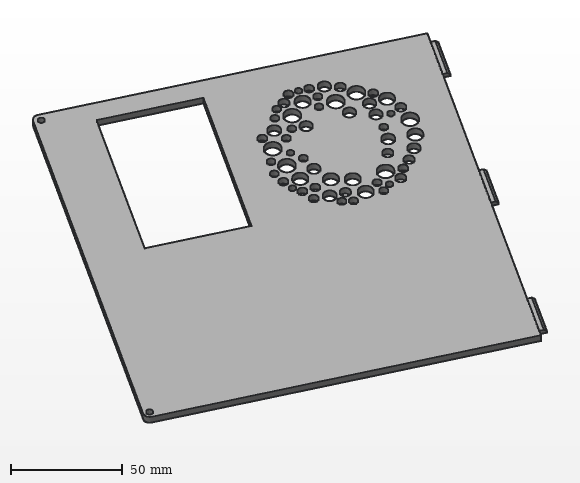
import cadquery as cq


panel_width = 188.0
overall_depth = 188.0
overall_height = 17.0
panel_thickness = 4.0
corner_radius = 3.0

screw_hole_diameter = 3.2
left_screw_inset = 3.5
right_screw_inset = corner_radius

tab_reach = 4.0
tab_width = 20.1
tab_height = 2.5
tab_tip_height = 1.1
tab_bevel_reach = 1.5
tab_spacing = 79.9
panel_depth = overall_depth - tab_reach

window_width = 79.7
window_depth = 49.6
window_left = 10.2
window_front = 27.5
window_center_x = -panel_width / 2 + window_left + window_width / 2

hook_width = 40.0
hook_center_x = -41.7
hook_front = 18.0
hook_stem_thickness = 4.9
hook_lip_reach = 10.2
hook_lip_flat_reach = 7.9
hook_lip_height = 3.5
hook_lip_tip_height = 2.0

grille_holes = {
    8.0: [
        (-46.5, 162.6), (-68.2, 143.8), (-19.4, 143.6), (-65.6, 133.5),
        (-62.8, 112.5), (-34.5, 102.0), (-46.0, 98.7),
    ],
    7.3: [
        (-37.0, 162.5), (-61.1, 156.0), (-10.0, 131.8), (-18.8, 128.2),
        (-69.5, 119.2), (-21.5, 118.8), (-25.4, 105.7),
    ],
    6.4: [(-37.8, 150.0), (-12.0, 115.6), (-56.4, 102.3)],
    6.0: [
        (-29.3, 159.6), (-53.4, 148.7), (-60.5, 147.8), (-57.7, 137.6),
        (-75.8, 131.0), (-55.0, 116.7), (-29.5, 113.2),
    ],
    5.0: [
        (-54.5, 160.5), (-23.3, 155.7), (-13.7, 149.0), (-29.7, 147.5),
        (-73.5, 137.8), (-12.2, 123.0), (-71.0, 111.0),
    ],
    4.5: [
        (-19.0, 151.7), (-66.0, 151.0), (-76.3, 124.0), (-75.5, 114.3),
        (-18.6, 110.7), (-12.5, 108.3), (-17.9, 104.5), (-25.8, 98.0), (-53.2, 95.9),
    ],
    4.1: [
        (-8.5, 139.7), (-14.0, 138.2), (-70.7, 126.5), (-6.2, 125.0),
        (-7.3, 120.0), (-36.8, 110.4), (-50.4, 106.2),
    ],
    4.0: [
        (-45.1, 150.0), (-64.7, 125.4), (-55.3, 110.2), (-68.5, 106.8),
        (-63.4, 104.5), (-38.7, 95.9), (-31.4, 95.3),
    ],
    3.4: [(-52.0, 155.3), (-11.5, 143.3), (-76.3, 119.2), (-41.5, 105.7), (-20.9, 100.8)],
}


def extrude_profile(points, width, center_x):
    """Extrude a closed (Y, Z) outline along X, centered on center_x."""
    return (
        cq.Workplane("YZ", origin=(center_x, 0, 0))
        .polyline(points)
        .close()
        .extrude(width / 2, both=True)
    )


def through_holes(centers, diameter):
    """Cylinders that pass through the full panel thickness."""
    return (
        cq.Workplane("XY")
        .pushPoints(centers)
        .circle(diameter / 2)
        .extrude(panel_thickness)
    )


def make_panel():
    """Flat panel with rounded front corners and the rectangular window."""
    panel = (
        cq.Workplane("XY")
        .box(panel_width, panel_depth, panel_thickness, centered=(True, False, False))
        .edges("|Z and <Y")
        .fillet(corner_radius)
    )
    window = (
        cq.Workplane("XY")
        .center(window_center_x, window_front)
        .rect(window_width, window_depth, centered=(True, False))
        .extrude(panel_thickness)
    )
    return panel.cut(window)


def make_tab(center_x):
    """Low tab behind the back edge, beveled along the top of its tip."""
    tip_y = panel_depth + tab_reach
    outline = [
        (panel_depth, 0),
        (tip_y, 0),
        (tip_y, tab_tip_height),
        (tip_y - tab_bevel_reach, tab_height),
        (panel_depth, tab_height),
    ]
    return extrude_profile(outline, tab_width, center_x)


def make_hook():
    """Stem under the panel with a beveled lip that points to the back."""
    bottom_z = panel_thickness - overall_height
    lip_top_z = bottom_z + hook_lip_height
    stem_back = hook_front + hook_stem_thickness
    tip_y = hook_front + hook_lip_reach
    outline = [
        (hook_front, 0),
        (hook_front, bottom_z),
        (tip_y, bottom_z),
        (tip_y, bottom_z + hook_lip_tip_height),
        (hook_front + hook_lip_flat_reach, lip_top_z),
        (stem_back, lip_top_z),
        (stem_back, 0),
    ]
    return extrude_profile(outline, hook_width, hook_center_x)


result = make_panel()

for tab_x in (-tab_spacing, 0, tab_spacing):
    result = result.union(make_tab(tab_x))

result = result.union(make_hook())

screw_centers = [
    (-panel_width / 2 + left_screw_inset, left_screw_inset),
    (panel_width / 2 - right_screw_inset, right_screw_inset),
]
result = result.cut(through_holes(screw_centers, screw_hole_diameter))

for hole_diameter, hole_centers in grille_holes.items():
    result = result.cut(through_holes(hole_centers, hole_diameter))